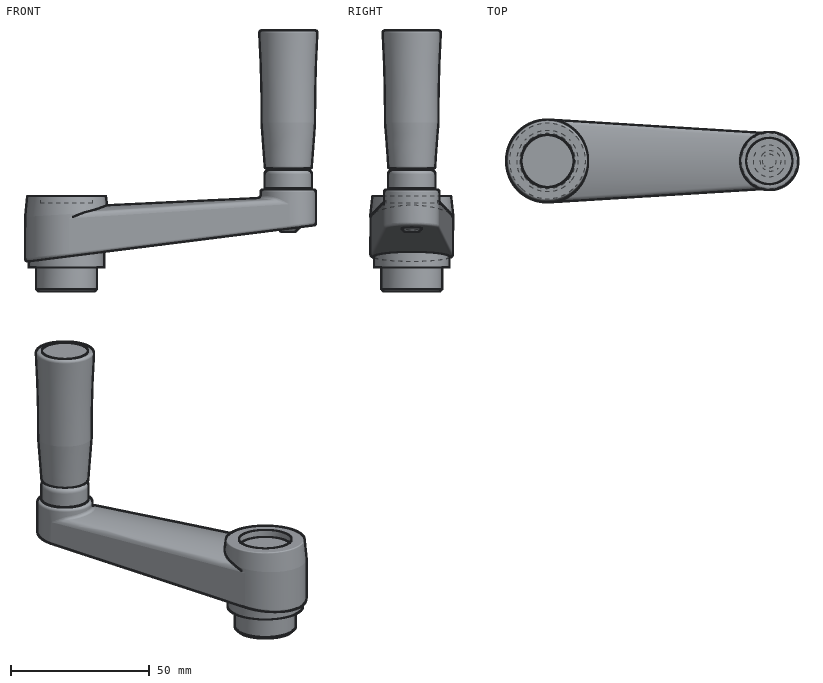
import cadquery as cq
import math

total_length = 105.5
hub_diameter = 30.0
arm_length = 80.0
grip_top_diameter = 2 * (total_length - hub_diameter / 2 - arm_length)

hub_radius = hub_diameter / 2
hub_top_z = 25.8
hub_top_diameter = 28.5
hub_top_fillet = 0.4
seam_z = 19.1
seam_slope = 0.064
recess_diameter = 19.0
recess_depth = 2.6
recess_taper = 3.0

flange_diameter = 27.3
shaft_diameter = 22.2
shaft_length = 8.8
shaft_chamfer = 1.1

boss_radius = 10.0
boss_top_z = 28.2
boss_edge_fillet = 1.1
boss_root_fillet = 1.1
bottom_z = 3.9
bottom_slope = 0.126
bottom_fillet = 1.1
crown_z = 21.7
crown_slope = 0.048
crown_radius = 42.2
arm_top_fillet = 2.1

rivet_z = 12.8
rivet_tip_diameter = 5.0
rivet_diameter = 8.3
rivet_length = 8.4

collar_diameter = 17.2
collar_top_z = 35.2
collar_fillet = 1.7
collar_foot_chamfer = 0.4
pin_diameter = 11.5
grip_bottom_z = 35.8
grip_bottom_diameter = 17.0
grip_waist_z = 52.1
grip_waist_diameter = 19.4
grip_top_z = 85.5
grip_sag = 0.26
grip_bottom_fillet = 0.6
grip_top_fillet = 1.1
cap_diameter = 16.7
cap_depth = 0.1


def cylinder(x, radius, z_low, z_high):
    """Upright cylinder centred at (x, 0)."""
    return cq.Workplane("XY", origin=(x, 0, z_low)).circle(radius).extrude(z_high - z_low)


def above_slope(z_on_axis, slope):
    """Block filling everything above a plane that rises along X."""
    left = -2 * hub_radius
    right = arm_length + 2 * hub_radius
    return (
        cq.Workplane("XZ")
        .moveTo(left, z_on_axis + slope * left)
        .lineTo(right, z_on_axis + slope * right)
        .lineTo(right, 2 * grip_top_z)
        .lineTo(left, 2 * grip_top_z)
        .close()
        .extrude(2 * hub_radius, both=True)
    )


def make_arm():
    """Tapered beam between hub and boss, its flanks tangent to both."""
    tangent_sine = (hub_radius - boss_radius) / arm_length
    tangent_cosine = math.sqrt(1 - tangent_sine**2)
    hub_x = hub_radius * tangent_sine
    hub_y = hub_radius * tangent_cosine
    boss_x = arm_length + boss_radius * tangent_sine
    boss_y = boss_radius * tangent_cosine
    beam = (
        cq.Workplane("XY")
        .polyline([(hub_x, -hub_y), (boss_x, -boss_y), (boss_x, boss_y), (hub_x, hub_y)])
        .close()
        .extrude(boss_top_z)
    )
    axis = cq.Vector(1, 0, crown_slope)
    start = cq.Vector(0, 0, crown_z - crown_radius) - axis * hub_radius
    crown = cq.Solid.makeCylinder(crown_radius, 2 * arm_length, start, axis)
    beam = beam.intersect(cq.Workplane(crown))
    mid_x = arm_length / 2
    top_edges = cq.selectors.BoxSelector(
        (mid_x - hub_radius, -hub_radius, seam_z - hub_radius / 2),
        (mid_x + hub_radius, hub_radius, boss_top_z),
    )
    return beam.edges(top_edges).fillet(arm_top_fillet)


def make_hub_cap():
    """Upper hub: ruled surface from the sloping seam up to the round rim."""
    slope_length = math.hypot(1, seam_slope)
    seam = cq.Wire.makeEllipse(
        hub_radius * slope_length,
        hub_radius,
        cq.Vector(0, 0, seam_z),
        cq.Vector(-seam_slope, 0, 1),
        cq.Vector(1, 0, seam_slope),
    )
    rim = cq.Wire.makeCircle(hub_top_diameter / 2, cq.Vector(0, 0, hub_top_z), cq.Vector(0, 0, 1))
    cap = cq.Workplane(cq.Solid.makeLoft([seam, rim], True))
    return cap.faces(">Z").edges().fillet(hub_top_fillet)


def make_body():
    """Hub, arm and boss over a common sloping underside, with the hub cap on top."""
    hub = cylinder(0, hub_radius, 0, hub_top_z).cut(above_slope(seam_z, seam_slope))
    boss = cylinder(arm_length, boss_radius, 0, boss_top_z).faces(">Z").edges().fillet(boss_edge_fillet)
    body = hub.union(make_arm()).union(boss)
    crown_end = cq.Vector(arm_length - boss_radius, 0, crown_z + crown_slope * arm_length)
    body = body.edges(cq.selectors.NearestToPointSelector(crown_end)).fillet(boss_root_fillet)
    body = body.intersect(above_slope(bottom_z, bottom_slope))
    body = body.faces("<Z").edges().fillet(bottom_fillet)
    return body.union(make_hub_cap())


def make_shaft():
    """Flange running up into the hub, and the stub shaft below it."""
    flange = cylinder(0, flange_diameter / 2, 0, hub_radius)
    shaft = cylinder(0, shaft_diameter / 2, -shaft_length, 0)
    return flange.union(shaft.faces("<Z").edges().chamfer(shaft_chamfer))


def make_rivet():
    """Rivet whose tapered head stands out of the underside of the boss."""
    tip = rivet_tip_diameter / 2
    outer = rivet_diameter / 2
    outline = [(0, 0), (tip, 0), (outer, outer - tip), (outer, rivet_length), (0, rivet_length)]
    return (
        cq.Workplane("XZ", origin=(arm_length, 0, rivet_z))
        .polyline(outline)
        .close()
        .revolve(360, (0, 0), (0, 1))
    )


def make_collar():
    """Bearing collar standing on the boss, with the pin that carries the grip."""
    collar = cylinder(arm_length, collar_diameter / 2, boss_top_z, collar_top_z)
    collar = collar.faces(">Z").edges().fillet(collar_fillet)
    collar = collar.faces("<Z").edges().chamfer(collar_foot_chamfer)
    return collar.union(cylinder(arm_length, pin_diameter / 2, boss_top_z, grip_bottom_z))


def make_grip():
    """Turned grip: conical below the waist, hollow-flanked above, with a cap seat on top."""
    waist = grip_waist_diameter / 2
    top = grip_top_diameter / 2
    rim_z = grip_top_z - grip_top_fillet
    flank_middle = ((waist + top) / 2 - grip_sag, (grip_waist_z + rim_z) / 2)
    grip = (
        cq.Workplane("XZ", origin=(arm_length, 0, 0))
        .moveTo(0, grip_bottom_z)
        .lineTo(grip_bottom_diameter / 2, grip_bottom_z)
        .lineTo(waist, grip_waist_z)
        .threePointArc(flank_middle, (top, rim_z))
        .radiusArc((top - grip_top_fillet, grip_top_z), -grip_top_fillet)
        .lineTo(0, grip_top_z)
        .close()
        .revolve(360, (0, 0), (0, 1))
    )
    grip = grip.faces("<Z").edges().fillet(grip_bottom_fillet)
    return grip.cut(cylinder(arm_length, cap_diameter / 2, grip_top_z - cap_depth, grip_top_z))


def make_recess():
    """Round blind recess in the top of the hub."""
    return (
        cq.Workplane("XY", origin=(0, 0, hub_top_z))
        .circle(recess_diameter / 2)
        .extrude(-recess_depth, taper=recess_taper)
    )


result = make_body().union(make_shaft()).cut(make_recess()).union(make_rivet())
result = result.union(make_collar()).union(make_grip())